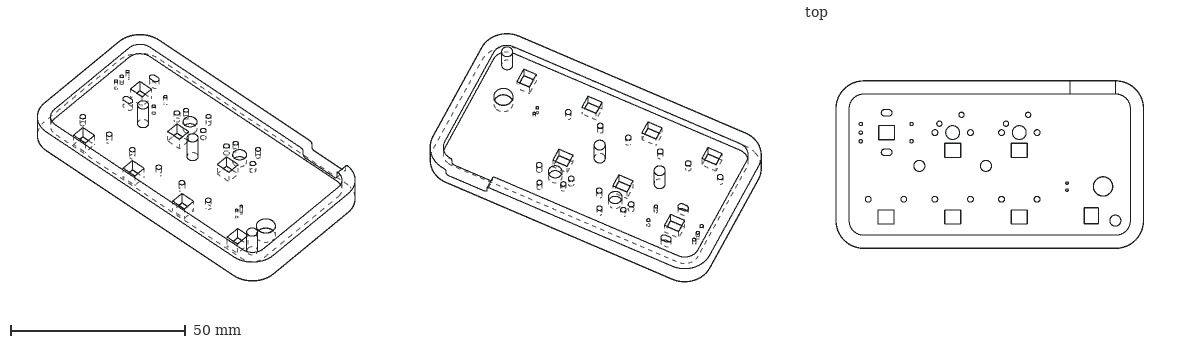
import cadquery as cq

LENGTH = 88.0
WIDTH = 48.0
RIM_HEIGHT = 8.0
OUTER_RADIUS = 8.0
WALL = 3.8
POCKET_RADIUS = OUTER_RADIUS - WALL
FLOOR = RIM_HEIGHT / 2
BLIND_DEPTH = 3.0

NOTCH_LEFT = 23.0
NOTCH_RIGHT = 35.9
NOTCH_SILL = 0.9
NOTCH_FILLET = 1.0

COLUMN_COUNT = 3
COLUMN_SPAN = 38.1
KEY_PITCH = COLUMN_SPAN / (COLUMN_COUNT - 1)
GRID_STEPS_PER_KEY = 15
GRID = KEY_PITCH / GRID_STEPS_PER_KEY
FIRST_COLUMN_X = -29.7
TOP_ROW_Y = 9.15
COLUMNS_X = [FIRST_COLUMN_X + i * KEY_PITCH for i in range(COLUMN_COUNT)]
BOTTOM_ROW_Y = TOP_ROW_Y - KEY_PITCH
SIDE_PEG_OFFSET = 4 * GRID
WINDOW_DROP = 4 * GRID
WINDOW_LONG = 4.5
WINDOW_SHORT = 4.0
SIDE_PEG_DIAMETER = 1.7
SWITCH_STEM_DIAMETER = 4.0
SWITCH_PIN_DIAMETER = 1.5
SWITCH_PIN_STEPS = [(-3, 2), (2, 4)]

ENCODER_X = -29.5
ENCODER_LEFT_PIN_OFFSET = 7.4
ENCODER_RIGHT_PIN_OFFSET = 7.1
ENCODER_PIN_PITCH = 2.5
ENCODER_PIN_DIAMETER = 1.0
ENCODER_TAB_OFFSET = 5.6
ENCODER_TAB_LENGTH = 3.1
ENCODER_TAB_WIDTH = 1.85

CORNER_WINDOW = (29.0, -14.6)
ROUND_OPENING = (32.4, -6.25)
ROUND_OPENING_DIAMETER = 5.5
LED_LEADS = [(22.1, -5.3), (22.1, -7.3)]
LED_LEAD_DIAMETER = 0.75

POST_DIAMETER = 3.2
POST_TOP = 12.0
ROW_MIDDLE_Y = (TOP_ROW_Y + BOTTOM_ROW_Y) / 2
CORNER_POST = (35.9, -16.0)
POSTS = [
    (COLUMNS_X[0] + KEY_PITCH / 2, ROW_MIDDLE_Y),
    (COLUMNS_X[1] + KEY_PITCH / 2, ROW_MIDDLE_Y),
    CORNER_POST,
]


def rounded_block(length, width, radius, bottom, top):
    """Centred block with rounded vertical edges."""
    block = cq.Workplane("XY").workplane(offset=bottom).rect(length, width).extrude(top - bottom)
    return block.edges("|Z").fillet(radius)


def cable_notch():
    """Cutter for the back wall notch: flared at the rim and rounded at its bottom corners."""
    r = NOTCH_FILLET
    sill = FLOOR + NOTCH_SILL
    profile = (
        cq.Workplane("XZ", origin=(0, WIDTH / 2, 0))
        .moveTo(NOTCH_LEFT - r, RIM_HEIGHT)
        .radiusArc((NOTCH_LEFT, RIM_HEIGHT - r), r)
        .lineTo(NOTCH_LEFT, sill + r)
        .radiusArc((NOTCH_LEFT + r, sill), -r)
        .lineTo(NOTCH_RIGHT - r, sill)
        .radiusArc((NOTCH_RIGHT, sill + r), -r)
        .lineTo(NOTCH_RIGHT, RIM_HEIGHT - r)
        .radiusArc((NOTCH_RIGHT + r, RIM_HEIGHT), r)
        .close()
    )
    return profile.extrude(WALL)


def floor_plane():
    return cq.Workplane("XY").workplane(offset=FLOOR)


def blind_holes(points, diameter):
    """Cutters for round holes that stop inside the floor."""
    return floor_plane().pushPoints(points).circle(diameter / 2).extrude(-BLIND_DEPTH)


def windows(points, length, width):
    """Cutters for rectangular openings right through the floor."""
    return floor_plane().pushPoints(points).rect(length, width).extrude(-FLOOR)


result = rounded_block(LENGTH, WIDTH, OUTER_RADIUS, 0, RIM_HEIGHT)
result = result.cut(
    rounded_block(LENGTH - 2 * WALL, WIDTH - 2 * WALL, POCKET_RADIUS, FLOOR, RIM_HEIGHT)
)
result = result.cut(cable_notch())

full_keys = [(x, TOP_ROW_Y) for x in COLUMNS_X[1:]]
peg_keys = [(x, BOTTOM_ROW_Y) for x in COLUMNS_X]
all_keys = full_keys + peg_keys
side_pegs = [(x + side * SIDE_PEG_OFFSET, y) for x, y in all_keys for side in (-1, 1)]
switch_pins = [
    (x + dx * GRID, y + dy * GRID) for x, y in full_keys for dx, dy in SWITCH_PIN_STEPS
]
result = result.cut(blind_holes(side_pegs, SIDE_PEG_DIAMETER))
result = result.cut(blind_holes(full_keys, SWITCH_STEM_DIAMETER))
result = result.cut(blind_holes(switch_pins, SWITCH_PIN_DIAMETER))
key_windows = [(x, y - WINDOW_DROP) for x, y in all_keys]
result = result.cut(windows(key_windows, WINDOW_LONG, WINDOW_SHORT))

left_pins = [
    (ENCODER_X - ENCODER_LEFT_PIN_OFFSET, TOP_ROW_Y + i * ENCODER_PIN_PITCH) for i in (-1, 0, 1)
]
right_pins = [
    (ENCODER_X + ENCODER_RIGHT_PIN_OFFSET, TOP_ROW_Y + i * ENCODER_PIN_PITCH) for i in (-1, 1)
]
tabs = [(ENCODER_X, TOP_ROW_Y + side * ENCODER_TAB_OFFSET) for side in (-1, 1)]
result = result.cut(windows([(ENCODER_X, TOP_ROW_Y)], WINDOW_LONG, WINDOW_SHORT))
result = result.cut(blind_holes(left_pins + right_pins, ENCODER_PIN_DIAMETER))
result = result.cut(
    floor_plane().pushPoints(tabs).slot2D(ENCODER_TAB_LENGTH, ENCODER_TAB_WIDTH).extrude(-BLIND_DEPTH)
)

result = result.cut(windows([CORNER_WINDOW], WINDOW_SHORT, WINDOW_LONG))
result = result.cut(
    floor_plane().center(*ROUND_OPENING).circle(ROUND_OPENING_DIAMETER / 2).extrude(-FLOOR)
)
result = result.cut(blind_holes(LED_LEADS, LED_LEAD_DIAMETER))

posts = floor_plane().pushPoints(POSTS).circle(POST_DIAMETER / 2).extrude(POST_TOP - FLOOR)
result = result.union(posts)